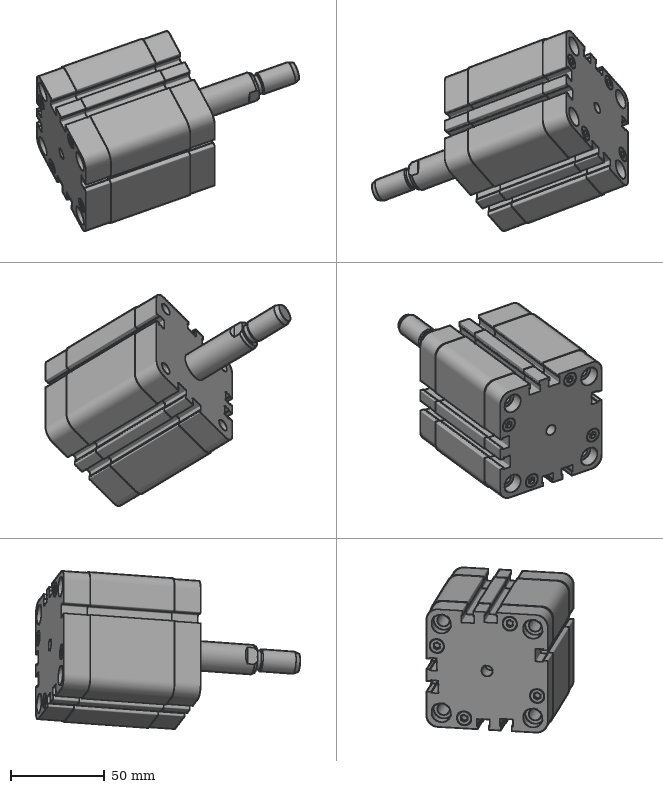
import cadquery as cq
import math

total_length = 137.0
body_length = 75.5
cap_length = 14.5
tube_side = 67.0
cap_inset = 0.34
cap_slot_clearance = 0.1
corner_radius = 6.5

slot_neck_width = 5.6
slot_wide_width = 6.8
slot_lip_radius = 0.5
slot_floor_radius = 0.4
slot_overcut = 1.4
deep_slot_offset = -10.5
deep_slot_lip = 3.2
deep_slot_depth = 6.8
shallow_slot_offset = 2.0
shallow_slot_lip = 2.3
shallow_slot_depth = 6.0
deep_slot_turns = (0, 90, 180, 270)
shallow_slot_turns = (0, 90, 180)

mount_pitch = 50.0
mount_diameter = 6.7
mount_bore_diameter = 10.5
mount_bore_depth = 6.6
center_hole_diameter = 6.0
center_hole_depth = 11.0

screw_across = 12.5
screw_out = 27.4
screw_recess_diameter = 8.0
screw_head_diameter = 7.5
screw_recess_depth = 3.4
socket_across_corners = 4.0
socket_depth = 2.0

rod_diameter = 16.0
rod_shoulder_y = 113.0
rod_chamfer_length = 1.6
rod_end_diameter = 14.2
flats_width = 13.0
flats_length = 5.5
neck_diameter = 10.5
thread_diameter = 12.0
thread_start_y = 115.5
thread_start_chamfer = (thread_diameter - neck_diameter) / 2
tip_diameter = 10.0
tip_length = 2.6

half_side = tube_side / 2


def section_plane(y):
    return cq.Workplane(cq.Plane(origin=(0, y, 0), xDir=(1, 0, 0), normal=(0, -1, 0)))


def extrude_section(sketch, length):
    return sketch.extrude(-length)


def slot_cutter(y, length, inset, clearance, offset, lip, depth):
    """T-slot in the top side, opening through a face that lies `inset` below the tube surface.

    The walls stand `clearance` wider than the tube's own slot, but the mouth stays equally wide.
    The lip thickness and the slot depth are measured down from the tube surface.
    """
    surface = half_side - inset
    neck = slot_neck_width / 2 + clearance
    wide = slot_wide_width / 2 + clearance
    lip_radius = slot_lip_radius - clearance
    mouth = neck + lip_radius
    lip_z = half_side - lip + clearance
    floor_z = half_side - depth - clearance
    bend = math.sqrt(0.5)
    lip_mid_x = mouth - lip_radius * bend
    lip_mid_z = surface - lip_radius * (1 - bend)
    floor_mid_x = wide - slot_floor_radius * (1 - bend)
    floor_mid_z = floor_z + slot_floor_radius * (1 - bend)
    top_z = surface + slot_overcut
    sketch = (
        section_plane(y)
        .moveTo(offset - mouth, top_z)
        .lineTo(offset - mouth, surface)
        .threePointArc((offset - lip_mid_x, lip_mid_z), (offset - neck, surface - lip_radius))
        .lineTo(offset - neck, lip_z)
        .lineTo(offset - wide, lip_z)
        .lineTo(offset - wide, floor_z + slot_floor_radius)
        .threePointArc((offset - floor_mid_x, floor_mid_z), (offset - wide + slot_floor_radius, floor_z))
        .lineTo(offset + wide - slot_floor_radius, floor_z)
        .threePointArc((offset + floor_mid_x, floor_mid_z), (offset + wide, floor_z + slot_floor_radius))
        .lineTo(offset + wide, lip_z)
        .lineTo(offset + neck, lip_z)
        .lineTo(offset + neck, surface - lip_radius)
        .threePointArc((offset + lip_mid_x, lip_mid_z), (offset + mouth, surface))
        .lineTo(offset + mouth, top_z)
        .close()
    )
    return extrude_section(sketch, length)


def body_segment(y, length, inset, clearance):
    """Rounded square block with its slots."""
    side = tube_side - 2 * inset
    block = extrude_section(section_plane(y).rect(side, side), length)
    block = block.edges("|Y").fillet(corner_radius)
    slots = (
        (deep_slot_turns, deep_slot_offset, deep_slot_lip, deep_slot_depth),
        (shallow_slot_turns, shallow_slot_offset, shallow_slot_lip, shallow_slot_depth),
    )
    for turns, offset, lip, depth in slots:
        cutter = slot_cutter(y, length, inset, clearance, offset, lip, depth)
        for turn in turns:
            block = block.cut(cutter.rotate((0, 0, 0), (0, 1, 0), -turn))
    return block


def cylinder_body():
    tube_length = body_length - 2 * cap_length
    rear_cap = body_segment(0, cap_length, cap_inset, cap_slot_clearance)
    tube = body_segment(cap_length, tube_length, 0, 0)
    front_cap = body_segment(cap_length + tube_length, cap_length, cap_inset, cap_slot_clearance)
    return rear_cap.union(tube).union(front_cap)


def mounting_holes():
    corners = section_plane(0).rect(mount_pitch, mount_pitch, forConstruction=True).vertices()
    through = extrude_section(corners.circle(mount_diameter / 2), body_length)
    bores = extrude_section(corners.circle(mount_bore_diameter / 2), mount_bore_depth)
    return through.union(bores)


def center_hole():
    return extrude_section(section_plane(0).circle(center_hole_diameter / 2), center_hole_depth)


def screw_gaps():
    """Ring gap around each flush screw head, and its hexagon socket with corners up and down."""
    places = [
        (screw_across, screw_out),
        (-screw_out, screw_across),
        (-screw_across, -screw_out),
        (screw_out, -screw_across),
    ]
    gaps = section_plane(0).pushPoints(places)
    rings = gaps.circle(screw_recess_diameter / 2).circle(screw_head_diameter / 2)
    rings = extrude_section(rings, screw_recess_depth)
    for x, z in places:
        socket = section_plane(0).center(x, z).transformed(rotate=(0, 0, 90))
        rings = rings.union(extrude_section(socket.polygon(6, socket_across_corners), socket_depth))
    return rings


def piston_rod():
    rod_y = body_length - cap_length
    thread_full_y = thread_start_y + thread_start_chamfer
    rod = (
        cq.Workplane("XY")
        .moveTo(0, rod_y)
        .lineTo(rod_diameter / 2, rod_y)
        .lineTo(rod_diameter / 2, rod_shoulder_y - rod_chamfer_length)
        .lineTo(rod_end_diameter / 2, rod_shoulder_y)
        .lineTo(neck_diameter / 2, rod_shoulder_y)
        .lineTo(neck_diameter / 2, thread_start_y)
        .lineTo(thread_diameter / 2, thread_full_y)
        .lineTo(thread_diameter / 2, total_length - tip_length)
        .lineTo(tip_diameter / 2, total_length)
        .lineTo(0, total_length)
        .close()
        .revolve(360, (0, 0, 0), (0, 1, 0))
    )
    return rod.cut(wrench_flats())


def wrench_flats():
    """Two flats facing +X and -X, each running out at 45 degrees toward the body."""
    flat_x = flats_width / 2
    outer_x = rod_diameter
    flat_end_y = rod_shoulder_y - flats_length
    flat = (
        cq.Workplane("XY")
        .moveTo(flat_x, rod_shoulder_y)
        .lineTo(flat_x, flat_end_y)
        .lineTo(outer_x, flat_end_y - (outer_x - flat_x))
        .lineTo(outer_x, rod_shoulder_y)
        .close()
        .extrude(rod_diameter / 2, both=True)
    )
    return flat.union(flat.mirror("YZ"))


body = cylinder_body().cut(mounting_holes()).cut(center_hole()).cut(screw_gaps())
result = body.union(piston_rod())